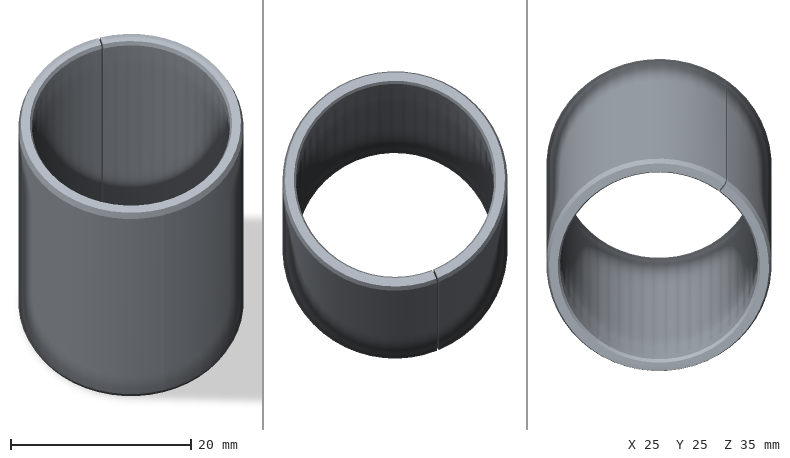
import math
import cadquery as cq

outer_diameter = 25.0
wall_thickness = 1.5
length = 35.0

outer_chamfer_length = 0.8
outer_chamfer_angle = math.radians(20.0)
inner_chamfer_length = 0.5
inner_chamfer_depth = 0.23
joint_gap = 0.2

outer_radius = outer_diameter / 2
inner_radius = outer_radius - wall_thickness
half_length = length / 2
outer_chamfer_depth = outer_chamfer_length * math.tan(outer_chamfer_angle)


def make_sleeve():
    """Revolve the wall section, chamfered at both ends, about the Z axis."""
    section = [
        (inner_radius, -half_length + inner_chamfer_length),
        (inner_radius + inner_chamfer_depth, -half_length),
        (outer_radius - outer_chamfer_depth, -half_length),
        (outer_radius, -half_length + outer_chamfer_length),
        (outer_radius, half_length - outer_chamfer_length),
        (outer_radius - outer_chamfer_depth, half_length),
        (inner_radius + inner_chamfer_depth, half_length),
        (inner_radius, half_length - inner_chamfer_length),
    ]
    return cq.Workplane("XZ").polyline(section).close().revolve(360, (0, 0), (0, 1))


def make_joint():
    """Full-length slit that opens the wall on the -X side only."""
    slit = cq.Workplane("XY").box(outer_diameter, joint_gap, length)
    return slit.translate((-outer_radius, joint_gap / 2, 0))


result = make_sleeve().cut(make_joint())